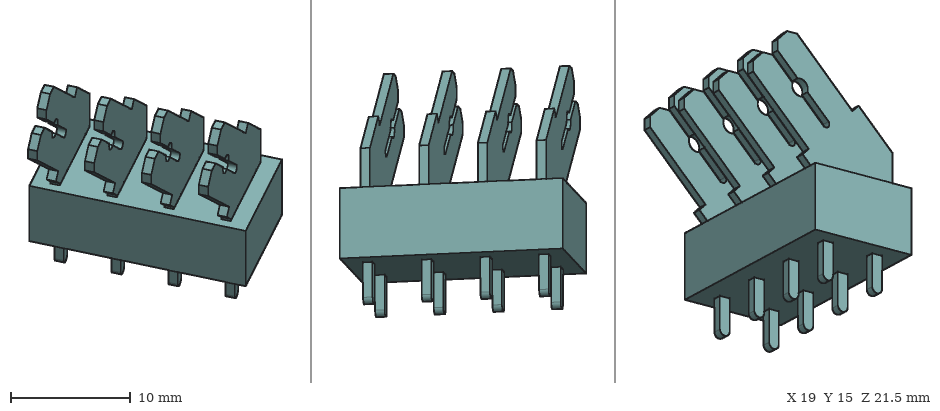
import cadquery as cq
import math

housing_width = 19.0
housing_depth = 9.8
housing_height = 6.02

terminal_count = 4
terminal_row_span = 15.0
terminal_thickness = 0.82
terminal_pitch = terminal_row_span / (terminal_count - 1)
terminal_positions = [i * terminal_pitch - terminal_row_span / 2 for i in range(terminal_count)]

stem_width = 8.15
stem_setback = 4.9
stem_y = housing_depth / 2 - stem_setback
half_stem = stem_width / 2

blade_lean = math.radians(45)
blade_width = 6.32
shoulder_width = 8.08
shoulder_distance = 3.15
blade_length = 11.87
tip_chamfer = 0.7
half_blade = blade_width / 2
half_shoulder = shoulder_width / 2

slot_width = 0.7
slot_depth = 8.38
hole_diameter = 1.6
hole_from_tip = 4.3
half_slot = slot_width / 2

leg_width = 1.0
leg_pitch = 5.0
leg_protrusion = 3.48
back_leg_setback = 2.39
back_leg_y = housing_depth / 2 - back_leg_setback
leg_positions = [back_leg_y, back_leg_y - leg_pitch]

overall_height = 21.5
top_z = overall_height - leg_protrusion
tip_rise = (
    blade_length * math.cos(blade_lean)
    + (half_blade - tip_chamfer) * math.sin(blade_lean)
)
bend_z = top_z - tip_rise


def blade_point(along, across):
    """Y and Z of a point set out along the blade axis and across it (positive is the upper side)."""
    y = stem_y - along * math.sin(blade_lean) + across * math.cos(blade_lean)
    z = bend_z + along * math.cos(blade_lean) + across * math.sin(blade_lean)
    return y, z


def make_plate():
    """Stem and forked blade, cut from one flat sheet."""
    bend_offset = (half_shoulder - half_stem * math.cos(blade_lean)) / math.sin(blade_lean)
    chamfer_start = blade_length - tip_chamfer
    slot_arc_centre = blade_length - slot_depth + half_slot

    upper_side = [
        (stem_y + half_stem, housing_height),
        (stem_y + half_stem, bend_z + bend_offset),
        blade_point(shoulder_distance, half_shoulder),
        blade_point(shoulder_distance, half_blade),
        blade_point(chamfer_start, half_blade),
        blade_point(blade_length, half_blade - tip_chamfer),
        blade_point(blade_length, half_slot + tip_chamfer),
        blade_point(chamfer_start, half_slot),
        blade_point(slot_arc_centre, half_slot),
    ]
    lower_side = [
        blade_point(chamfer_start, -half_slot),
        blade_point(blade_length, -half_slot - tip_chamfer),
        blade_point(blade_length, -half_blade + tip_chamfer),
        blade_point(chamfer_start, -half_blade),
        blade_point(shoulder_distance, -half_blade),
        blade_point(shoulder_distance, -half_shoulder),
        (stem_y - half_stem, bend_z - bend_offset),
        (stem_y - half_stem, housing_height),
    ]
    plate = (
        cq.Workplane("YZ")
        .polyline(upper_side)
        .threePointArc(
            blade_point(slot_arc_centre - half_slot, 0),
            blade_point(slot_arc_centre, -half_slot),
        )
        .polyline(lower_side, includeCurrent=True)
        .close()
        .extrude(terminal_thickness / 2, both=True)
    )
    hole = (
        cq.Workplane("YZ")
        .center(*blade_point(blade_length - hole_from_tip, 0))
        .circle(hole_diameter / 2)
        .extrude(terminal_thickness / 2, both=True)
    )
    return plate.cut(hole)


def make_leg(leg_y):
    """Straight leg from the stem's foot down to its rounded end."""
    half_leg = leg_width / 2
    arc_centre_z = half_leg - leg_protrusion
    return (
        cq.Workplane("YZ")
        .moveTo(leg_y + half_leg, housing_height)
        .lineTo(leg_y + half_leg, arc_centre_z)
        .threePointArc((leg_y, -leg_protrusion), (leg_y - half_leg, arc_centre_z))
        .lineTo(leg_y - half_leg, housing_height)
        .close()
        .extrude(terminal_thickness / 2, both=True)
    )


def make_terminal(x):
    """Complete terminal, its thickness centred on the given X."""
    terminal = make_plate()
    for leg_y in leg_positions:
        terminal = terminal.union(make_leg(leg_y))
    return terminal.translate((x, 0, 0)).solids()


def make_housing():
    """Block with a matching through slot for every leg."""
    block = cq.Workplane("XY").box(
        housing_width, housing_depth, housing_height, centered=(True, True, False)
    )
    leg_slots = [(x, y) for x in terminal_positions for y in leg_positions]
    slots = (
        cq.Workplane("XY")
        .pushPoints(leg_slots)
        .rect(terminal_thickness, leg_width)
        .extrude(housing_height)
    )
    return block.cut(slots).solids()


housing = make_housing()
terminals = [make_terminal(x) for x in terminal_positions]

result = cq.Compound.makeCompound([housing.val(), *[terminal.val() for terminal in terminals]])